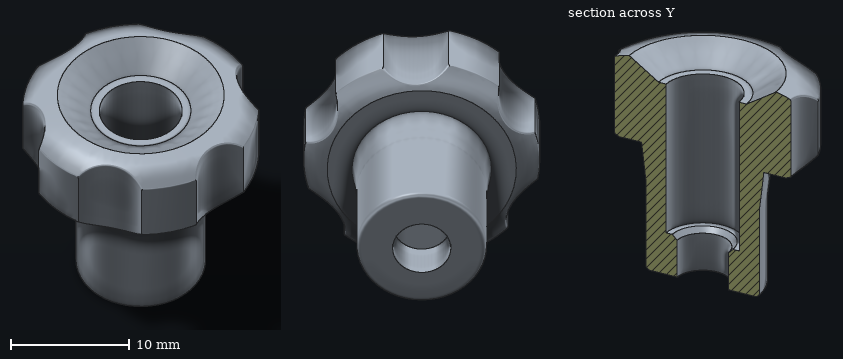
import cadquery as cq
import math

total_height = 20.0
head_bottom = 12.0
neck_bottom = 8.55

head_radius = 10.0
rim_bottom = 13.3
rim_top = 18.6
lower_flat_radius = 8.0
upper_flat_radius = 7.15
lower_round_radius = 6.0
upper_round_radius = 6.0

scallop_count = 6
scallop_radius = 4.0
scallop_center = 12.5
edge_round = 0.2

stem_radius = 11.0 / 2
neck_top_radius = 5.9
stem_end_round = 0.5

dish_radius = 7.05
dish_floor_radius = 4.25
dish_floor = 18.15
counterbore_radius = 7.0 / 2
counterbore_floor = 4.0
hole_radius = 4.92 / 2
hole_chamfer = 0.45


def bulge_point(start, end, radius):
    """Middle of an arc from start to end that bulges to the right of travel."""
    dx = end[0] - start[0]
    dy = end[1] - start[1]
    chord = math.hypot(dx, dy)
    rise = radius - math.sqrt(radius**2 - (chord / 2) ** 2)
    return (
        (start[0] + end[0]) / 2 + rise * dy / chord,
        (start[1] + end[1]) / 2 - rise * dx / chord,
    )


def edges_between(body, low, high):
    """Edges centered between two heights, leaving out the flat end faces."""
    margin = 0.02
    reach = 2 * head_radius
    bottom = low + margin if low == head_bottom else low - margin
    top = high - margin if high == total_height else high + margin
    box = cq.selectors.BoxSelector((-reach, -reach, bottom), (reach, reach, top))
    return body.edges(box).vals()


def make_head():
    lower_start = (lower_flat_radius, head_bottom)
    lower_end = (head_radius, rim_bottom)
    upper_start = (head_radius, rim_top)
    upper_end = (upper_flat_radius, total_height)
    head = (
        cq.Workplane("XZ")
        .moveTo(0, head_bottom)
        .lineTo(*lower_start)
        .threePointArc(bulge_point(lower_start, lower_end, lower_round_radius), lower_end)
        .lineTo(*upper_start)
        .threePointArc(bulge_point(upper_start, upper_end, upper_round_radius), upper_end)
        .lineTo(0, total_height)
        .close()
        .revolve(360, (0, 0, 0), (0, 1, 0))
    )
    scallops = (
        cq.Workplane("XY")
        .workplane(offset=head_bottom)
        .polarArray(scallop_center, 0, 360, scallop_count)
        .circle(scallop_radius)
        .extrude(total_height - head_bottom)
    )
    head = head.cut(scallops)
    upper_edges = edges_between(head, rim_top, total_height)
    lower_edges = edges_between(head, head_bottom, rim_bottom)
    return head.newObject(upper_edges + lower_edges).fillet(edge_round)


def make_stem():
    stem = cq.Workplane("XY").circle(stem_radius).extrude(neck_bottom)
    stem = stem.faces("<Z").edges().fillet(stem_end_round)
    neck = (
        cq.Workplane("XZ")
        .moveTo(0, neck_bottom)
        .lineTo(stem_radius, neck_bottom)
        .lineTo(neck_top_radius, head_bottom)
        .lineTo(0, head_bottom)
        .close()
        .revolve(360, (0, 0, 0), (0, 1, 0))
    )
    return stem.union(neck)


def make_bore():
    return (
        cq.Workplane("XZ")
        .lineTo(hole_radius, 0)
        .lineTo(hole_radius, counterbore_floor - hole_chamfer)
        .lineTo(hole_radius + hole_chamfer, counterbore_floor)
        .lineTo(counterbore_radius, counterbore_floor)
        .lineTo(counterbore_radius, dish_floor)
        .lineTo(dish_floor_radius, dish_floor)
        .lineTo(dish_radius, total_height)
        .lineTo(0, total_height)
        .close()
        .revolve(360, (0, 0, 0), (0, 1, 0))
    )


grip = make_head().cut(make_bore())
support = make_stem().cut(make_bore())
result = grip.union(support)